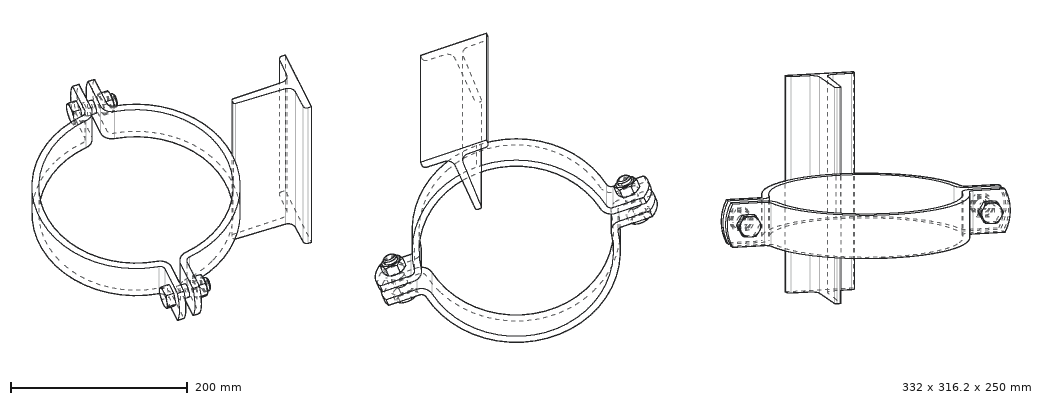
import cadquery as cq
import math

overall_width = 332.0
ring_radius = 118.0
band_thickness = 8.0
band_height = 50.0
ear_gap = 11.0
bend_radius = 6.0
ear_end_radius = 53.8

bolt_x = 141.8
bolt_diameter = 16.0
bolt_tip_chamfer = 1.5
bolt_tip_length = 5.3
hex_across_flats = 24.0
nut_height = 13.0
nut_face_diameter = 22.0
head_height = 10.0
head_face_diameter = hex_across_flats
hex_chamfer_angle = 30.0

rail_length = 250.0
rail_width = 80.0
rail_depth = 80.5
rail_thickness = 9.0
rail_slope = 0.02
root_radius = rail_thickness
flange_toe_radius = root_radius / 2
web_toe_radius = 2.3
rail_overlap = 0.3

half_width = overall_width / 2
ear_inner_y = ear_gap / 2
ear_outer_y = ear_inner_y + band_thickness


def polar(radius, angle):
    return (radius * math.cos(angle), radius * math.sin(angle))


def mirrored(point):
    return (-point[0], point[1])


def half_band():
    """Half ring on the +Y side with an outward ear at each end."""
    inner_radius = ring_radius - band_thickness
    outer_bend = bend_radius + band_thickness

    bend_y = ear_outer_y + bend_radius
    bend_angle = math.asin(bend_y / (ring_radius + bend_radius))
    bend_x = bend_y / math.tan(bend_angle)

    middle_angle = (3 * math.pi / 2 + math.pi + bend_angle) / 2

    def bend_middle(radius):
        dx, dy = polar(radius, middle_angle)
        return (bend_x + dx, bend_y + dy)

    outer_contact = polar(ring_radius, bend_angle)
    inner_contact = polar(inner_radius, bend_angle)
    return (
        cq.Workplane("XY")
        .workplane(offset=-band_height / 2)
        .moveTo(half_width, ear_outer_y)
        .lineTo(bend_x, ear_outer_y)
        .threePointArc(bend_middle(bend_radius), outer_contact)
        .threePointArc((0, ring_radius), mirrored(outer_contact))
        .threePointArc(mirrored(bend_middle(bend_radius)), (-bend_x, ear_outer_y))
        .lineTo(-half_width, ear_outer_y)
        .lineTo(-half_width, ear_inner_y)
        .lineTo(-bend_x, ear_inner_y)
        .threePointArc(mirrored(bend_middle(outer_bend)), mirrored(inner_contact))
        .threePointArc((0, inner_radius), inner_contact)
        .threePointArc(bend_middle(outer_bend), (bend_x, ear_inner_y))
        .lineTo(half_width, ear_inner_y)
        .close()
        .extrude(band_height)
    )


def ear_envelope():
    """Block with arched ends that rounds the outer ends of the ears."""
    half_height = band_height / 2
    arch_rise = ear_end_radius - math.sqrt(ear_end_radius**2 - half_height**2)
    corner_x = half_width - arch_rise
    return (
        cq.Workplane("XZ")
        .moveTo(-corner_x, -half_height)
        .lineTo(corner_x, -half_height)
        .threePointArc((half_width, 0), (corner_x, half_height))
        .lineTo(-corner_x, half_height)
        .threePointArc((-half_width, 0), (-corner_x, -half_height))
        .close()
        .extrude(overall_width, both=True)
    )


def bevelled_blank(height, face_diameter):
    """Revolved blank around Z whose top edge bevels the corners of a hexagon."""
    corner_radius = hex_across_flats / math.sqrt(3)
    face_radius = face_diameter / 2
    drop = (corner_radius - face_radius) * math.tan(math.radians(hex_chamfer_angle))
    return (
        cq.Workplane("XZ")
        .polyline([
            (0, 0),
            (corner_radius, 0),
            (corner_radius, height - drop),
            (face_radius, height),
            (0, height),
        ])
        .close()
        .revolve(360, (0, 0), (0, 1))
    )


def hexagon(height, face_diameter, both_faces):
    """Hexagonal prism standing on Z = 0, bevelled on top or on both faces."""
    corner_diameter = 2 * hex_across_flats / math.sqrt(3)
    blank = bevelled_blank(height, face_diameter)
    prism = cq.Workplane("XY").polygon(6, corner_diameter).extrude(height).intersect(blank)
    if both_faces:
        prism = prism.intersect(blank.mirror("XY").translate((0, 0, height)))
    return prism


def bolt():
    """Bolt with nut along +Y, head on the -Y side, centred on X = 0."""
    shank_length = 2 * ear_outer_y + nut_height + bolt_tip_length
    shank = (
        cq.Workplane("XY")
        .workplane(offset=-ear_outer_y)
        .circle(bolt_diameter / 2)
        .extrude(shank_length)
        .faces(">Z")
        .chamfer(bolt_tip_chamfer)
    )
    nut = hexagon(nut_height, nut_face_diameter, True).translate((0, 0, ear_outer_y))
    head = hexagon(head_height, head_face_diameter, False).mirror("XY").translate((0, 0, -ear_outer_y))
    return shank.union(nut).union(head).rotate((0, 0, 0), (1, 0, 0), -90)


def rail():
    """Tapered T-section with its flange on +Y and its web resting on the ring."""
    toe_y = ring_radius - rail_overlap
    back_y = toe_y + rail_depth
    half_flange = rail_width / 2

    flange_at_axis = rail_thickness + rail_slope * rail_width / 4
    flange_at_toe = rail_thickness - rail_slope * rail_width / 4
    web_at_back = rail_thickness / 2 + rail_slope * rail_depth / 2
    web_at_toe = rail_thickness / 2 - rail_slope * rail_depth / 2

    root_x = (web_at_back - rail_slope * flange_at_axis) / (1 - rail_slope**2)
    root = (root_x, back_y - flange_at_axis + rail_slope * root_x)
    flange_toe = (half_flange, back_y - flange_at_toe)
    web_toe = (web_at_toe, toe_y)

    right_side = [(half_flange, back_y), flange_toe, root, web_toe]
    left_side = [mirrored(point) for point in reversed(right_side)]
    body = (
        cq.Workplane("XY")
        .workplane(offset=-rail_length / 2)
        .polyline(right_side + left_side)
        .close()
        .extrude(rail_length)
    )
    corners = [
        (root, root_radius),
        (flange_toe, flange_toe_radius),
        (web_toe, web_toe_radius),
    ]
    for corner, radius in corners:
        for x, y in (corner, mirrored(corner)):
            edge = cq.selectors.NearestToPointSelector((x, y, 0))
            body = body.edges(edge).fillet(radius)
    return body


upper_band = half_band().intersect(ear_envelope())
result = upper_band.union(upper_band.mirror("XZ")).union(rail())
for side in (-1, 1):
    result = result.union(bolt().translate((side * bolt_x, 0, 0)))